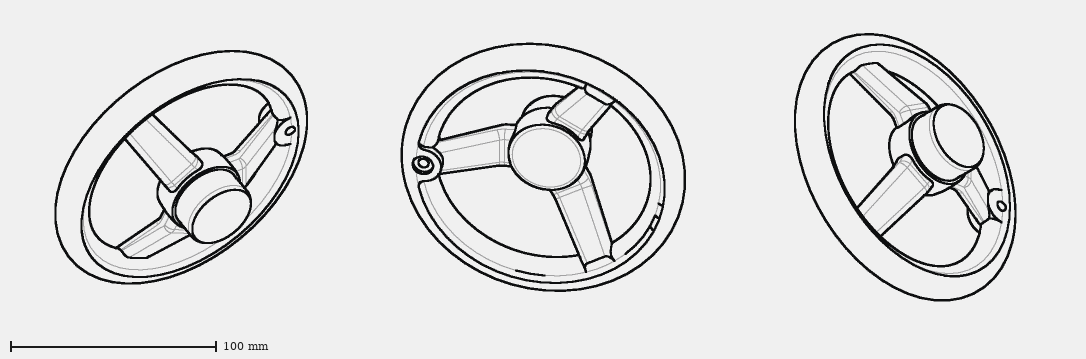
import cadquery as cq
import math


rim_outer_radius = 70.0
rim_tube_radius = 8.5
rim_crest_radius = rim_outer_radius - rim_tube_radius
rim_mid_x = rim_tube_radius
rim_width = 2 * rim_tube_radius
groove_depth = 2.5
inner_tube_radius = rim_tube_radius - groove_depth
groove_floor_radius = rim_crest_radius - groove_depth

barrel_start_x = 17.5
barrel_end_x = 32.3
barrel_front_radius = 18.9
barrel_back_radius = 19.2
barrel_mid_radius = 19.6
face_chamfer_length = 0.5
face_chamfer_height = 2.0
sleeve_radius = 35.0 / 2
sleeve_end_x = 47.0
sleeve_end_rounding_length = 2.2
sleeve_end_rounding_height = 0.9

spoke_count = 3
spoke_embed = 0.3
spoke_inner_radius = 14.0
spoke_outer_radius = groove_floor_radius + spoke_embed
spoke_front_root_x = 19.4
spoke_back_root_x = 30.1
spoke_front_bend_radius = 22.4
spoke_back_bend_radius = 23.2
spoke_front_slope = 0.531
spoke_back_slope = 0.60
spoke_hub_width = 21.3
spoke_rim_width = 17.1
spoke_edge_radius = 3.7
spoke_bend_rounding = 5.0

lug_center_y = 58.1
lug_radius = 9.1
lug_blend_radius = 3.4
lug_thickness = rim_width - groove_depth
handle_hole_diameter = 5.0
handle_recess_diameter = 10.1
handle_recess_depth = 2.0


def make_rim():
    """Revolve the rim section, with its two rounded grooves inside the crest circle."""
    bend_x = groove_depth * math.sqrt(0.5)
    bend_radius = groove_floor_radius + bend_x
    section = (
        cq.Workplane("XY")
        .moveTo(0, rim_crest_radius)
        .threePointArc((rim_mid_x, rim_outer_radius), (rim_width, rim_crest_radius))
        .threePointArc((rim_width - bend_x, bend_radius), (rim_width - groove_depth, groove_floor_radius))
        .threePointArc(
            (rim_mid_x, groove_floor_radius - inner_tube_radius),
            (groove_depth, groove_floor_radius),
        )
        .threePointArc((bend_x, bend_radius), (0, rim_crest_radius))
        .close()
    )
    return section.revolve(360, (0, 0, 0), (1, 0, 0))


def make_hub():
    """Revolve the barrel and the sleeve in one section."""
    face_x = barrel_start_x - face_chamfer_length
    face_radius = barrel_front_radius - face_chamfer_height
    section = (
        cq.Workplane("XY")
        .moveTo(face_x, 0)
        .lineTo(face_x, face_radius)
        .lineTo(barrel_start_x, barrel_front_radius)
        .threePointArc(
            ((barrel_start_x + barrel_end_x) / 2, barrel_mid_radius),
            (barrel_end_x, barrel_back_radius),
        )
        .lineTo(barrel_end_x, sleeve_radius)
        .lineTo(sleeve_end_x - sleeve_end_rounding_length, sleeve_radius)
        .tangentArcPoint((sleeve_end_x, sleeve_radius - sleeve_end_rounding_height), relative=False)
        .lineTo(sleeve_end_x, 0)
        .close()
    )
    return section.revolve(360, (0, 0, 0), (1, 0, 0))


def make_spoke():
    """Build the spoke that points along +Y, cut flat where it meets the rim groove."""
    front_end_x = spoke_front_root_x - spoke_front_slope * (spoke_outer_radius - spoke_front_bend_radius)
    back_end_x = spoke_back_root_x - spoke_back_slope * (spoke_outer_radius - spoke_back_bend_radius)
    side = (
        cq.Workplane("XY")
        .moveTo(spoke_front_root_x, spoke_inner_radius)
        .lineTo(spoke_front_root_x, spoke_front_bend_radius)
        .lineTo(front_end_x, spoke_outer_radius)
        .lineTo(back_end_x, spoke_outer_radius)
        .lineTo(spoke_back_root_x, spoke_back_bend_radius)
        .lineTo(spoke_back_root_x, spoke_inner_radius)
        .close()
        .extrude(spoke_hub_width / 2, both=True)
    )
    front_bend = cq.selectors.NearestToPointSelector((spoke_front_root_x, spoke_front_bend_radius, 0))
    back_bend = cq.selectors.NearestToPointSelector((spoke_back_root_x, spoke_back_bend_radius, 0))
    side = side.edges("|Z").edges(front_bend + back_bend).fillet(spoke_bend_rounding)
    plan = (
        cq.Workplane("YZ")
        .moveTo(spoke_inner_radius, -spoke_hub_width / 2)
        .lineTo(spoke_outer_radius, -spoke_rim_width / 2)
        .lineTo(spoke_outer_radius, spoke_rim_width / 2)
        .lineTo(spoke_inner_radius, spoke_hub_width / 2)
        .close()
        .extrude(sleeve_end_x, both=True)
    )
    spoke = side.intersect(plan)
    long_edges = spoke.faces("<Z or >Z").edges("not(<Y or >Y)")
    spoke = long_edges.fillet(spoke_edge_radius)
    front_trim = (
        cq.Workplane("YZ")
        .workplane(offset=groove_depth)
        .circle(rim_outer_radius)
        .extrude(-rim_width)
    )
    return spoke.cut(front_trim)


def make_lug():
    """Round handle lug, blended into the groove wall at the rim's crest circle."""
    blend_to_axis = rim_crest_radius - lug_blend_radius
    blend_to_lug = lug_radius + lug_blend_radius
    blend_y = (blend_to_axis**2 - blend_to_lug**2 + lug_center_y**2) / (2 * lug_center_y)
    blend_z = math.sqrt(blend_to_axis**2 - blend_y**2)
    wall_angle = math.atan2(blend_z, blend_y)
    lug_angle = math.atan2(-blend_z, lug_center_y - blend_y)
    mid_angle = (wall_angle + lug_angle) / 2

    def on_blend(angle, side):
        """Point on the blend arc above (side = 1) or below (side = -1) the lug center."""
        return (
            blend_y + lug_blend_radius * math.cos(angle),
            side * (blend_z + lug_blend_radius * math.sin(angle)),
        )

    outline = (
        cq.Workplane("YZ")
        .moveTo(*on_blend(wall_angle, 1))
        .threePointArc(on_blend(mid_angle, 1), on_blend(lug_angle, 1))
        .threePointArc((lug_center_y - lug_radius, 0), on_blend(lug_angle, -1))
        .threePointArc(on_blend(mid_angle, -1), on_blend(wall_angle, -1))
        .threePointArc((rim_crest_radius, 0), on_blend(wall_angle, 1))
        .close()
    )
    return outline.extrude(lug_thickness)


def make_handle_hole():
    """Through hole with a shallow round recess in the face of the lug."""
    center = cq.Workplane("YZ").center(lug_center_y, 0)
    hole = center.circle(handle_hole_diameter / 2).extrude(rim_width)
    recess = center.circle(handle_recess_diameter / 2).extrude(handle_recess_depth)
    return hole.union(recess)


result = make_rim().union(make_hub())
spoke = make_spoke()
spoke_pitch = 360 / spoke_count
for index in range(spoke_count):
    result = result.union(spoke.rotate((0, 0, 0), (1, 0, 0), index * spoke_pitch))
result = result.union(make_lug()).cut(make_handle_hole())